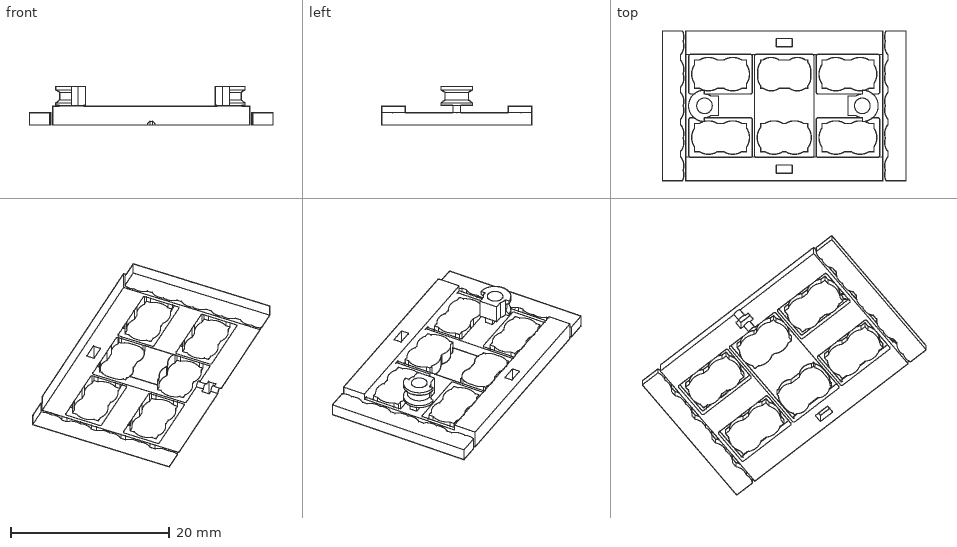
import cadquery as cq

total_length = 30.88
total_width = 19.0
plate_height = 1.6

frame_length = 24.98
rail_width = 3.0
rail_height = 2.4
end_web = 0.43
divider_web = 0.3
center_window_length = 7.5
cross_beam_width = 3.05
window_corner_radius = 0.2
slot_length = 2.0
slot_width = 1.02
groove_radius = 0.5

pulley_spacing = 19.98
pulley_shift = -0.108
pulley_bottom = 2.5
pulley_height = 2.4
flange_radius = 2.0
barrel_radius = 1.5
hub_radius = 1.48
lower_rim_height = 0.3
lower_cone_height = 0.4
upper_cone_height = 0.3
upper_rim_height = 0.43
bore_radius = 1.0
bore_floor = 0.3
block_reach = 1.8
block_width = 2.45
post_length = 3.15
post_width = 1.0

pad_width = 3.6
outer_pad_length = 6.6
center_pad_length = 6.0
lobe_height = 4.25
large_lobe_spacing = 3.1
medium_lobe_spacing = 2.62
oval_lobe_spacing = 3.35
small_lobe_radius = 1.7

bar_root_width = 2.32
tooth_height = 0.43
tooth_count = 5
tooth_pitch = 4.08
tooth_lobe_spacing = 1.15

window_width = total_width - 2 * rail_width
outer_window_length = (frame_length - center_window_length) / 2 - end_web - divider_web
outer_window_x = (center_window_length + outer_window_length) / 2 + divider_web
side_window_width = (window_width - cross_beam_width) / 2
side_window_y = (cross_beam_width + side_window_width) / 2
rail_y = (total_width - rail_width) / 2
pulley_top = pulley_bottom + pulley_height


def block(length, width, height, x=0, y=0, z=0):
    """Box centered on (x, y) that stands on height z."""
    return cq.Workplane().box(length, width, height, centered=(True, True, False)).translate((x, y, z))


def disc(radius, height, x=0, y=0, z=0):
    """Upright cylinder centered on (x, y) that stands on height z."""
    return cq.Workplane().circle(radius).extrude(height).translate((x, y, z))


def make_pulley():
    """Pulley on a post, centered on the Z axis: flanged half toward -X, plain half and block toward +X."""
    lower_cone_start = pulley_bottom + lower_rim_height
    upper_cone_end = pulley_top - upper_rim_height
    spool = (
        cq.Workplane("XZ")
        .moveTo(0, pulley_bottom)
        .lineTo(flange_radius, pulley_bottom)
        .lineTo(flange_radius, lower_cone_start)
        .lineTo(barrel_radius, lower_cone_start + lower_cone_height)
        .lineTo(barrel_radius, upper_cone_end - upper_cone_height)
        .lineTo(flange_radius, upper_cone_end)
        .lineTo(flange_radius, pulley_top)
        .lineTo(0, pulley_top)
        .close()
        .revolve(360, (0, 0), (0, 1))
    )
    flange_half = block(flange_radius, 2 * flange_radius, pulley_height, -flange_radius / 2, 0, pulley_bottom)
    pulley = (
        spool.intersect(flange_half)
        .union(disc(hub_radius, pulley_height, z=pulley_bottom))
        .union(block(block_reach, block_width, pulley_height, block_reach / 2, 0, pulley_bottom))
        .cut(disc(bore_radius, pulley_height, z=pulley_bottom + bore_floor))
    )
    return pulley.union(block(post_length, post_width, pulley_bottom - plate_height, z=plate_height))


def make_window(length, width, x=0, y=0):
    """Cutter for a window through the frame, with rounded corners."""
    return block(length, width, rail_height, x, y).edges("|Z").fillet(window_corner_radius)


def make_frame():
    """Two rails joined by low webs, with windows, and a pulley on each cross beam."""
    frame = block(frame_length, total_width, plate_height)
    for side in (-1, 1):
        frame = frame.union(block(frame_length, rail_width, rail_height, 0, side * rail_y))

    frame = frame.cut(make_window(center_window_length, window_width))
    for x_side in (-1, 1):
        for y_side in (-1, 1):
            x = x_side * outer_window_x
            y = y_side * side_window_y
            frame = frame.cut(make_window(outer_window_length, side_window_width, x, y))

    for side in (-1, 1):
        frame = frame.cut(block(slot_length, slot_width, rail_height, 0, side * rail_y))

    groove = cq.Workplane("XZ").circle(groove_radius).extrude(rail_width)
    frame = frame.cut(groove.translate((0, -window_width / 2, 0)))

    pulley = make_pulley()
    left_pulley = pulley.translate((pulley_shift - pulley_spacing / 2, 0, 0))
    right_pulley = pulley.mirror("YZ").translate((pulley_shift + pulley_spacing / 2, 0, 0))
    return frame.union(left_pulley).union(right_pulley)


def make_round_pad(length, lobe_spacing, x, y):
    """Rectangular pad with two round lobes side by side."""
    pad = block(length, pad_width, plate_height, x, y)
    for side in (-1, 1):
        pad = pad.union(disc(lobe_height / 2, plate_height, x + side * lobe_spacing / 2, y))
    return pad


def make_oval_pad(x, y):
    """Rectangular pad with two lobes stretched in Y."""
    pad = block(center_pad_length, pad_width, plate_height, x, y)
    for side in (-1, 1):
        lobe = cq.Workplane().slot2D(lobe_height, 2 * small_lobe_radius, 90).extrude(plate_height)
        pad = pad.union(lobe.translate((x + side * oval_lobe_spacing / 2, y, 0)))
    return pad


def make_side_bar():
    """Left side bar, with rounded teeth on its inner edge."""
    outer_x = -total_length / 2
    tip_x = outer_x + bar_root_width + tooth_height
    bar = block(bar_root_width, total_width, plate_height, outer_x + bar_root_width / 2)
    for tooth in range(tooth_count):
        tooth_y = (tooth - (tooth_count - 1) / 2) * tooth_pitch
        for side in (-1, 1):
            lobe_y = tooth_y + side * tooth_lobe_spacing / 2
            bar = bar.union(disc(small_lobe_radius, plate_height, tip_x - small_lobe_radius, lobe_y))
    envelope = block(total_length, total_width, plate_height)
    return bar.intersect(envelope)


frame = make_frame()

pads = [
    make_round_pad(center_pad_length, medium_lobe_spacing, 0, -side_window_y),
    make_oval_pad(0, side_window_y),
]
for x_side in (-1, 1):
    for y_side in (-1, 1):
        x = x_side * outer_window_x
        y = y_side * side_window_y
        pads.append(make_round_pad(outer_pad_length, large_lobe_spacing, x, y))

left_bar = make_side_bar()
side_bars = [left_bar, left_bar.mirror("YZ")]

result = cq.Compound.makeCompound([body.val() for body in [frame, *pads, *side_bars]])